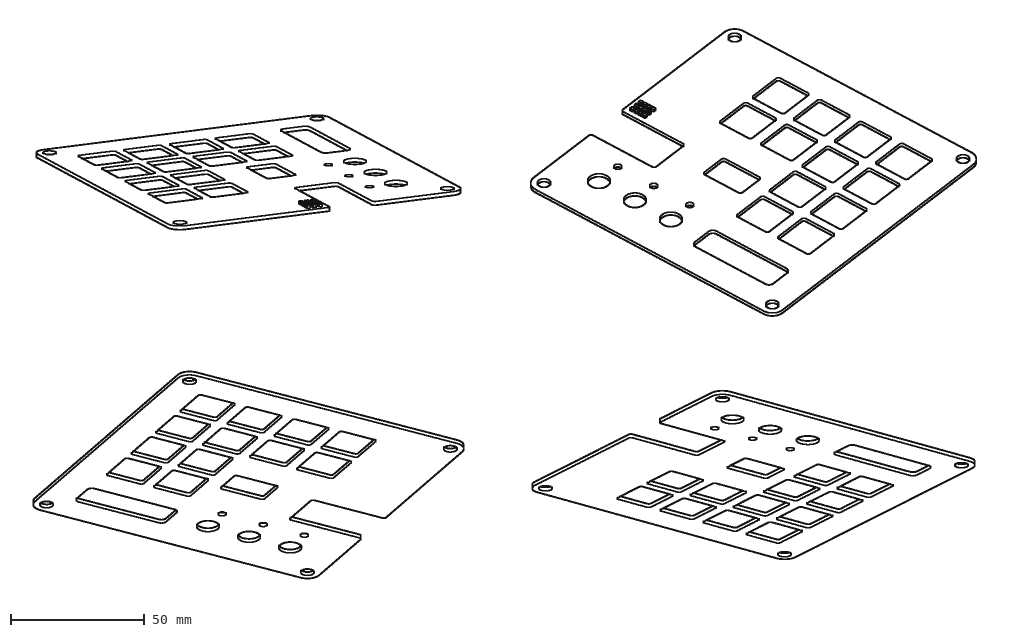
import cadquery as cq

PLATE_SIZE = 121.0
PLATE_THICKNESS = 1.5
CORNER_RADIUS = 5.0

MOUNT_HOLE_DIAMETER = 5.0
MOUNT_HOLE_PITCH = PLATE_SIZE - 2 * CORNER_RADIUS

KEY_SIZE = 15.5
KEY_PITCH_X = 20.0
KEY_PITCH_Y = 19.0
FIRST_KEY_X = -39.5
FIRST_KEY_Y = -40.35
KEYS_PER_ROW = (4, 4, 2, 2)
SMALL_CORNER_RADIUS = 1.0

DISPLAY_WIDTH = 38.0
DISPLAY_HEIGHT = 12.0
DISPLAY_CENTER = (-28.9, 41.9)
DISPLAY_CORNER_RADIUS = 2.0

SMALL_WINDOW_WIDTH = 18.5
SMALL_WINDOW_HEIGHT = 12.0
SMALL_WINDOW_CENTER = (4.35, 7.3)

KNOB_HOLE_DIAMETER = 8.5
INDICATOR_HOLE_DIAMETER = 3.0
KNOB_COUNT = 3
KNOB_PITCH = 17.5
FIRST_KNOB_X = 5.5
KNOB_Y = 41.5
INDICATOR_Y = 30.5

NOTCH_DEPTH = 31.0
NOTCH_WIDTH = 17.8
NOTCH_CENTER_Y = 13.45
NOTCH_CORNER_RADIUS = 1.0

PAD_SIZE = 1.3
PAD_HEIGHT = 1.0
PAD_COLUMNS = 4
PAD_ROWS = 3
PAD_PITCH_X = 2.0
PAD_PITCH_Y = 2.45
PAD_GRID_CENTER = (54.5, -0.8)


def plate_blank():
    """Square plate with rounded corners and the notch in its right edge."""
    blank = cq.Workplane("XY").rect(PLATE_SIZE, PLATE_SIZE).extrude(PLATE_THICKNESS)
    blank = blank.edges("|Z").fillet(CORNER_RADIUS)

    notch = (
        cq.Workplane("XY")
        .center(PLATE_SIZE / 2, NOTCH_CENTER_Y)
        .rect(2 * NOTCH_DEPTH, NOTCH_WIDTH)
        .extrude(PLATE_THICKNESS)
    )
    notched = blank.cut(notch)

    zone_half_width = NOTCH_WIDTH / 2 + NOTCH_CORNER_RADIUS
    notch_zone = cq.selectors.BoxSelector(
        (0, NOTCH_CENTER_Y - zone_half_width, 0),
        (PLATE_SIZE, NOTCH_CENTER_Y + zone_half_width, PLATE_THICKNESS),
    )
    return notched.edges("|Z").edges(notch_zone).fillet(NOTCH_CORNER_RADIUS)


def window_cutter(width, height, center, corner_radius):
    """Rounded rectangular block that cuts a window through the plate."""
    block = cq.Workplane("XY").center(*center).rect(width, height).extrude(PLATE_THICKNESS)
    return block.edges("|Z").fillet(corner_radius)


def hole_cutters(centers, diameter):
    """Cylinders that cut holes through the plate."""
    return cq.Workplane("XY").pushPoints(centers).circle(diameter / 2).extrude(PLATE_THICKNESS)


def mount_hole_cutters():
    reach = MOUNT_HOLE_PITCH / 2
    centers = [(x, y) for x in (-reach, reach) for y in (-reach, reach)]
    return hole_cutters(centers, MOUNT_HOLE_DIAMETER)


def key_centers():
    return [
        (FIRST_KEY_X + column * KEY_PITCH_X, FIRST_KEY_Y + row * KEY_PITCH_Y)
        for row, key_count in enumerate(KEYS_PER_ROW)
        for column in range(key_count)
    ]


def raised_pads():
    """Square pads standing on the top face of the plate."""
    return (
        cq.Workplane("XY")
        .workplane(offset=PLATE_THICKNESS)
        .center(*PAD_GRID_CENTER)
        .rarray(PAD_PITCH_X, PAD_PITCH_Y, PAD_COLUMNS, PAD_ROWS)
        .rect(PAD_SIZE, PAD_SIZE)
        .extrude(PAD_HEIGHT)
    )


plate = plate_blank().cut(mount_hole_cutters())

for key_center in key_centers():
    plate = plate.cut(window_cutter(KEY_SIZE, KEY_SIZE, key_center, SMALL_CORNER_RADIUS))

plate = plate.cut(
    window_cutter(DISPLAY_WIDTH, DISPLAY_HEIGHT, DISPLAY_CENTER, DISPLAY_CORNER_RADIUS)
)
plate = plate.cut(
    window_cutter(SMALL_WINDOW_WIDTH, SMALL_WINDOW_HEIGHT, SMALL_WINDOW_CENTER, SMALL_CORNER_RADIUS)
)

knob_xs = [FIRST_KNOB_X + index * KNOB_PITCH for index in range(KNOB_COUNT)]
plate = plate.cut(hole_cutters([(x, KNOB_Y) for x in knob_xs], KNOB_HOLE_DIAMETER))
plate = plate.cut(hole_cutters([(x, INDICATOR_Y) for x in knob_xs], INDICATOR_HOLE_DIAMETER))

result = plate.union(raised_pads())